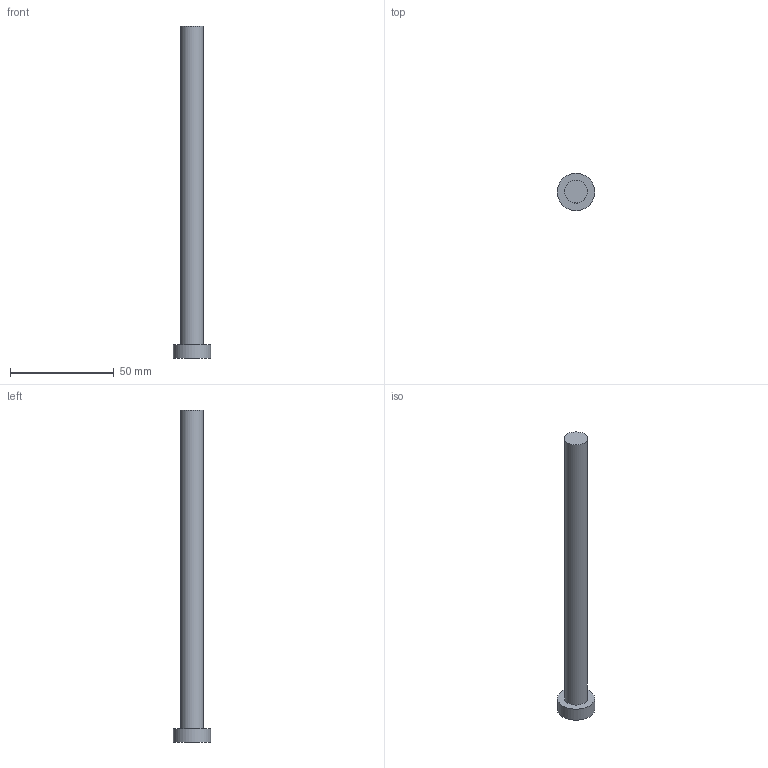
import cadquery as cq

TOTAL_LENGTH = 160.0
HEAD_DIAMETER = 18.0
HEAD_HEIGHT = 6.5
SHAFT_DIAMETER = 11.0


def make_head():
    """Flat cylindrical head with its underside at Z = 0."""
    return cq.Workplane("XY").circle(HEAD_DIAMETER / 2).extrude(HEAD_HEIGHT)


def make_shaft():
    """Plain cylindrical shaft running the full length of the pin."""
    return cq.Workplane("XY").circle(SHAFT_DIAMETER / 2).extrude(TOTAL_LENGTH)


result = make_head().union(make_shaft())